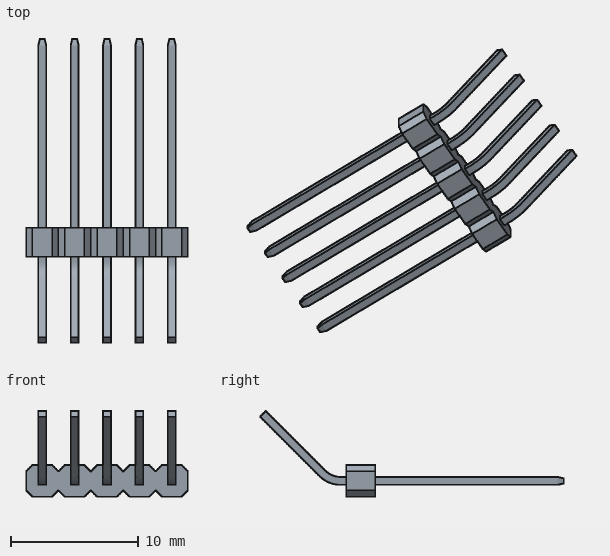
import cadquery as cq
import math


TOTAL_LENGTH = 23.85
TOTAL_HEIGHT = 6.74

PIN_COUNT = 5
PITCH = 2.54
BODY_DEPTH = 2.3
BODY_HEIGHT = 2.5
BODY_BEVEL = 0.5

PIN_WIDTH = 0.64
BEND_ANGLE = 45.0
BEND_RADIUS = 2.0
BEND_CLEARANCE = 0.43
TIP_WIDTH = 0.4
TIP_LENGTH = 0.5

BODY_FRONT = -BODY_DEPTH / 2
BEND_START = BODY_FRONT - BEND_CLEARANCE
SIN_BEND = math.sin(math.radians(BEND_ANGLE))
COS_BEND = math.cos(math.radians(BEND_ANGLE))
BEND_RUN = BEND_RADIUS * SIN_BEND
BEND_RISE = BEND_RADIUS * (1 - COS_BEND)
LEG_TOP = TOTAL_HEIGHT - BODY_HEIGHT / 2 - PIN_WIDTH / 2 * COS_BEND
LEG_LENGTH = (LEG_TOP - BEND_RISE) / SIN_BEND
LEG_END = BEND_START - BEND_RUN - LEG_LENGTH * COS_BEND
PIN_FRONT = LEG_END - PIN_WIDTH / 2 * SIN_BEND
TIP_END = PIN_FRONT + TOTAL_LENGTH
TIP_START = TIP_END - TIP_LENGTH


def pin_positions():
    """X positions of the pins, symmetric about X = 0."""
    first = -(PIN_COUNT - 1) * PITCH / 2
    return [first + index * PITCH for index in range(PIN_COUNT)]


def make_body():
    """Row of bevelled segments that meet in V notches."""
    segment = cq.Workplane("XY").box(PITCH, BODY_DEPTH, BODY_HEIGHT)
    segment = segment.edges("|Y").chamfer(BODY_BEVEL)
    body = segment.translate((pin_positions()[0], 0, 0))
    for x in pin_positions()[1:]:
        body = body.union(segment.translate((x, 0, 0)))
    return body.clean()


def make_pin():
    """Square pin at X = 0: upward leg, bend, straight shank and tapered tip."""
    centreline = (
        cq.Workplane("YZ")
        .moveTo(TIP_START, 0)
        .lineTo(BEND_START, 0)
        .radiusArc((BEND_START - BEND_RUN, BEND_RISE), BEND_RADIUS)
        .lineTo(LEG_END, LEG_TOP)
    )
    start_plane = cq.Plane(origin=(0, TIP_START, 0), xDir=(1, 0, 0), normal=(0, -1, 0))
    shank = cq.Workplane(start_plane).rect(PIN_WIDTH, PIN_WIDTH).sweep(centreline)

    tip_plane = cq.Plane(origin=(0, TIP_START, 0), xDir=(1, 0, 0), normal=(0, 1, 0))
    tip = (
        cq.Workplane(tip_plane)
        .rect(PIN_WIDTH, PIN_WIDTH)
        .workplane(offset=TIP_LENGTH)
        .rect(TIP_WIDTH, TIP_WIDTH)
        .loft(ruled=True)
    )
    return shank.union(tip)


def make_header():
    """Body with one pin fused through each segment."""
    header = make_body()
    pin = make_pin()
    for x in pin_positions():
        header = header.union(pin.translate((x, 0, 0)))
    return header


result = make_header()